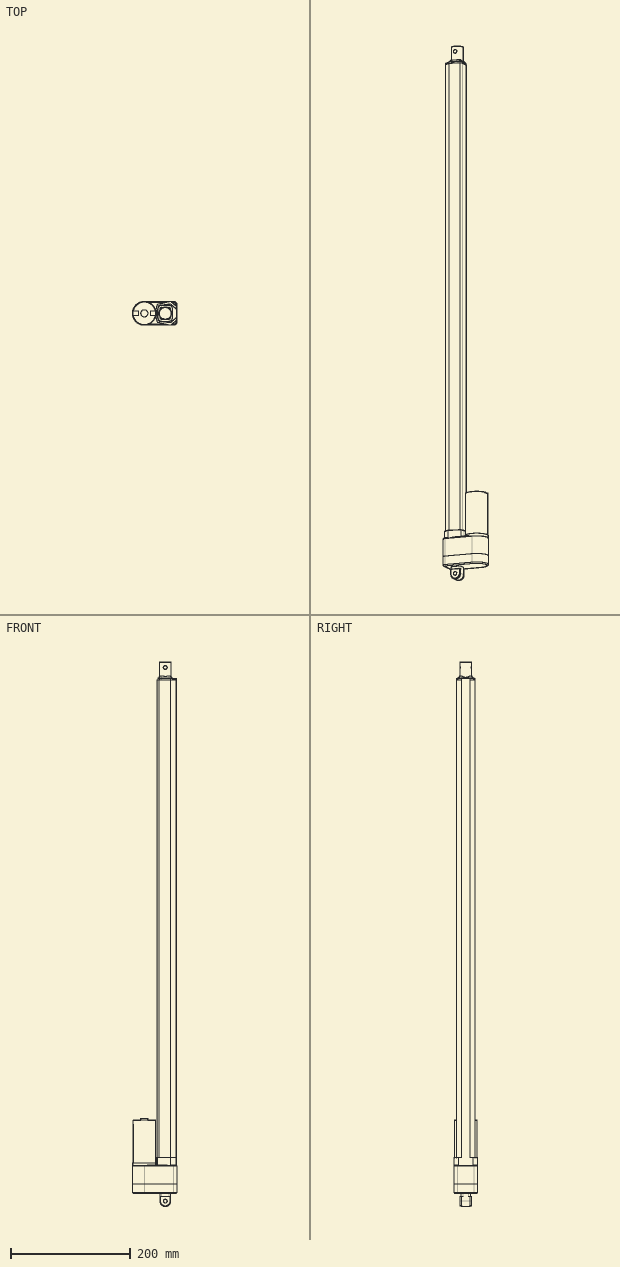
import cadquery as cq

HOUSING_LENGTH = 75.04
HOUSING_WIDTH = 40.0
MOTOR_X = HOUSING_WIDTH / 2
ROD_X = 55.2

HOUSING_BOTTOM_Z = 21.5
HOUSING_SEAM_Z = 38.0
HOUSING_TOP_Z = 70.0
MOTOR_RING_TOP_Z = 73.0
COLLAR_TOP_Z = 82.0
MOTOR_TOP_Z = 145.0
TUBE_TOP_Z = 884.0
CAP_SHOULDER_Z = 886.5
CAP_TOP_Z = 890.5
ROD_TOP_Z = 913.99

HOUSING_CORNER_RADIUS = 6.0
HOUSING_EDGE_CHAMFER = 2.0
COVER_INSET = 0.1
MOTOR_RING_DIAMETER = 39.0

MOTOR_DIAMETER = 38.0
BEARING_BOSS_DIAMETER = 12.0
BEARING_BOSS_HEIGHT = 3.0
MOTOR_SLOT_WIDTH = 8.0
MOTOR_SLOT_LENGTH = 9.0
MOTOR_SLOT_DEPTH = 0.8

TUBE_LEFT_X = 42.5
TUBE_WIDEST_X = 64.0
TUBE_RIGHT_X = 74.0
TUBE_LEFT_HALF_WIDTH = 13.3
TUBE_HALF_WIDTH = 15.8
TUBE_RIGHT_HALF_WIDTH = 7.2
TUBE_CORNER_DEPTH = 2.5
TUBE_RIB_HALF_WIDTH = 6.9
TUBE_RIB_DEPTH = 1.5

COLLAR_LEFT_X = 40.0
COLLAR_LEFT_HALF_WIDTH = 15.2
COLLAR_HALF_WIDTH = HOUSING_WIDTH / 2
COLLAR_RIGHT_HALF_WIDTH = 12.0

CAP_INSET = 0.3
CAP_LENGTH = 24.0
CAP_WIDTH = 27.0
CAP_CORNER_RADIUS = 6.0
CAP_CHAMFER = 3.5
CAP_BORE_DIAMETER = 21.0
CAP_BORE_DEPTH = 3.0

ROD_DIAMETER = 20.0
ROD_HOLE_DIAMETER = 6.0
ROD_HOLE_FROM_TOP = 9.0

EYE_RADIUS = 9.0
EYE_WIDTH = 14.0
EYE_CHEEK_RADIUS = 8.0
EYE_SHOULDER_Z = 17.0
EYE_NECK_WIDTH = 16.0
EYE_NECK_CORNER_RADIUS = 3.0
EYE_OVERALL_WIDTH = 20.0
EYE_HOLE_DIAMETER = 6.0


def upright_cylinder(x, diameter, bottom, top):
    return cq.Workplane("XY", origin=(x, 0, bottom)).circle(diameter / 2).extrude(top - bottom)


def cross_cylinder(radius, length, z):
    """Cylinder along Y through the rod axis, centred on the mid-plane."""
    plane = cq.Workplane("XZ", origin=(ROD_X, length / 2, z))
    return plane.circle(radius).extrude(length)


def box_between(x_range, y_range, z_range):
    (x0, x1), (y0, y1), (z0, z1) = x_range, y_range, z_range
    return cq.Workplane("XY", origin=(x0, y0, z0)).box(x1 - x0, y1 - y0, z1 - z0, centered=False)


def housing_block(bottom, top, inset=0.0):
    """D-shaped block: round around the motor, small corner radii at the other end."""
    half = HOUSING_WIDTH / 2 - inset
    right = HOUSING_LENGTH - inset
    block = (
        cq.Workplane("XY", origin=(0, 0, bottom))
        .moveTo(MOTOR_X, half)
        .threePointArc((inset, 0), (MOTOR_X, -half))
        .lineTo(right, -half)
        .lineTo(right, half)
        .close()
        .extrude(top - bottom)
    )
    return block.edges("|Z and >X").fillet(HOUSING_CORNER_RADIUS - inset)


def build_housing():
    cover = housing_block(HOUSING_BOTTOM_Z, HOUSING_SEAM_Z, COVER_INSET)
    cover = cover.faces("<Z").chamfer(HOUSING_EDGE_CHAMFER)
    case = housing_block(HOUSING_SEAM_Z, HOUSING_TOP_Z)
    case = case.faces(">Z").chamfer(HOUSING_EDGE_CHAMFER)
    motor_ring = upright_cylinder(MOTOR_X, MOTOR_RING_DIAMETER, HOUSING_SEAM_Z, MOTOR_RING_TOP_Z)
    return cover.union(case).union(motor_ring)


def build_motor():
    motor = upright_cylinder(MOTOR_X, MOTOR_DIAMETER, HOUSING_SEAM_Z, MOTOR_TOP_Z)
    slot_start = MOTOR_DIAMETER / 2 - MOTOR_SLOT_LENGTH
    slot_y = (-MOTOR_SLOT_WIDTH / 2, MOTOR_SLOT_WIDTH / 2)
    slot_z = (MOTOR_TOP_Z - MOTOR_SLOT_DEPTH, MOTOR_TOP_Z)
    for side in (-1, 1):
        slot_x = sorted((MOTOR_X + side * slot_start, MOTOR_X + side * MOTOR_DIAMETER / 2))
        motor = motor.cut(box_between(slot_x, slot_y, slot_z))
    boss_top = MOTOR_TOP_Z + BEARING_BOSS_HEIGHT
    return motor.union(upright_cylinder(MOTOR_X, BEARING_BOSS_DIAMETER, HOUSING_SEAM_Z, boss_top))


def tapered_section(left_x, left_half, widest_half, right_half, bottom, top):
    """Prism with a rounded left side and flanks that widen to TUBE_WIDEST_X, then slope in."""
    corner_x = left_x + TUBE_CORNER_DEPTH
    half = (
        cq.Workplane("XY", origin=(0, 0, bottom))
        .moveTo(left_x, 0)
        .lineTo(left_x, TUBE_RIB_HALF_WIDTH)
        .tangentArcPoint((corner_x, left_half), relative=False)
        .lineTo(TUBE_WIDEST_X, widest_half)
        .lineTo(TUBE_RIGHT_X, right_half)
        .lineTo(TUBE_RIGHT_X, 0)
        .close()
        .extrude(top - bottom)
    )
    return half.union(half.mirror("XZ"))


def build_tube():
    tube = tapered_section(
        TUBE_LEFT_X, TUBE_LEFT_HALF_WIDTH, TUBE_HALF_WIDTH, TUBE_RIGHT_HALF_WIDTH,
        HOUSING_TOP_Z, TUBE_TOP_Z,
    )
    rib = (
        cq.Workplane("XY", origin=(0, 0, HOUSING_TOP_Z))
        .moveTo(TUBE_LEFT_X, TUBE_RIB_HALF_WIDTH)
        .threePointArc((TUBE_LEFT_X - TUBE_RIB_DEPTH, 0), (TUBE_LEFT_X, -TUBE_RIB_HALF_WIDTH))
        .lineTo(ROD_X, -TUBE_RIB_HALF_WIDTH)
        .lineTo(ROD_X, TUBE_RIB_HALF_WIDTH)
        .close()
        .extrude(TUBE_TOP_Z - HOUSING_TOP_Z)
    )
    return tube.union(rib)


def build_collar():
    return tapered_section(
        COLLAR_LEFT_X, COLLAR_LEFT_HALF_WIDTH, COLLAR_HALF_WIDTH, COLLAR_RIGHT_HALF_WIDTH,
        HOUSING_TOP_Z - HOUSING_EDGE_CHAMFER, COLLAR_TOP_Z,
    )


def build_cap():
    plate = tapered_section(
        TUBE_LEFT_X + CAP_INSET, TUBE_LEFT_HALF_WIDTH - CAP_INSET, TUBE_HALF_WIDTH - CAP_INSET,
        TUBE_RIGHT_HALF_WIDTH - CAP_INSET, TUBE_TOP_Z, CAP_SHOULDER_Z,
    )
    block = (
        cq.Workplane("XY", origin=(ROD_X, 0, TUBE_TOP_Z))
        .rect(CAP_LENGTH, CAP_WIDTH)
        .extrude(CAP_TOP_Z - TUBE_TOP_Z)
        .edges("|Z")
        .fillet(CAP_CORNER_RADIUS)
        .faces(">Z")
        .chamfer(CAP_CHAMFER)
    )
    bore = upright_cylinder(ROD_X, CAP_BORE_DIAMETER, CAP_TOP_Z - CAP_BORE_DEPTH, CAP_TOP_Z)
    return plate.union(block).cut(bore)


def build_rod():
    rod = upright_cylinder(ROD_X, ROD_DIAMETER, TUBE_TOP_Z, ROD_TOP_Z)
    return rod.cut(cross_cylinder(ROD_HOLE_DIAMETER / 2, HOUSING_WIDTH, ROD_TOP_Z - ROD_HOLE_FROM_TOP))


def eye_plate(radius, width):
    """Plate with a round lower end, centred on the eye hole."""
    shank = box_between(
        (ROD_X - radius, ROD_X + radius), (-width / 2, width / 2), (EYE_RADIUS, EYE_SHOULDER_Z)
    )
    return shank.union(cross_cylinder(radius, width, EYE_RADIUS))


def build_eye():
    middle = eye_plate(EYE_RADIUS, EYE_WIDTH)
    cheeks = eye_plate(EYE_CHEEK_RADIUS, EYE_OVERALL_WIDTH)
    hole = cross_cylinder(EYE_HOLE_DIAMETER / 2, HOUSING_WIDTH, EYE_RADIUS)
    neck = box_between(
        (ROD_X - EYE_RADIUS, ROD_X + EYE_RADIUS),
        (-EYE_NECK_WIDTH / 2, EYE_NECK_WIDTH / 2),
        (EYE_SHOULDER_Z, HOUSING_BOTTOM_Z),
    )
    neck = neck.edges("|Z").fillet(EYE_NECK_CORNER_RADIUS)
    return middle.union(cheeks).cut(hole).union(neck)


result = build_housing()
for piece in (build_motor(), build_collar(), build_tube(), build_cap(), build_rod(), build_eye()):
    result = result.union(piece)